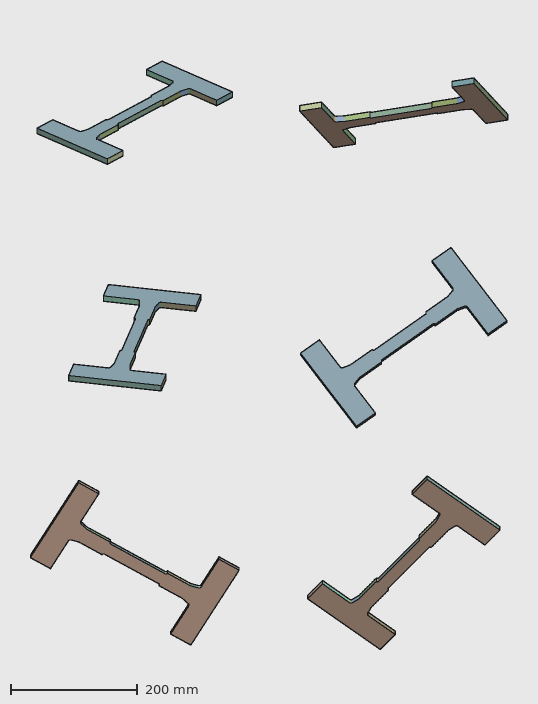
import cadquery as cq
import math

length = 295.0
width = 150.0
thickness = 10.0

head_depth = 37.2
stem_width = 25.5
taper_length = 15.0
taper_angle = 15.0
root_radius = 3.5

gauge_width = 20.0
gauge_length = 99.7
shoulder_radius = (stem_width - gauge_width) / 2

head_y = length / 2 - head_depth
taper_y = head_y - taper_length
root_half_width = stem_width / 2 + taper_length * math.tan(math.radians(taper_angle))


def centered_block(size_x, size_y):
    return cq.Workplane("XY").box(size_x, size_y, thickness)


def upper_head():
    """Head with a tapered root reaching down to the straight stem."""
    profile = [
        (-width / 2, length / 2),
        (-width / 2, head_y),
        (-root_half_width, head_y),
        (-stem_width / 2, taper_y),
        (stem_width / 2, taper_y),
        (root_half_width, head_y),
        (width / 2, head_y),
        (width / 2, length / 2),
    ]
    head = cq.Workplane("XY").workplane(offset=-thickness / 2).polyline(profile).close().extrude(thickness)
    root_edges = cq.selectors.BoxSelector(
        (-width / 4, head_y - root_radius / 2, -thickness),
        (width / 4, head_y + root_radius / 2, thickness),
    )
    return head.edges("|Z").edges(root_edges).fillet(root_radius)


def gauge_relief():
    """Side recess whose inner corners are quarter rounds."""
    half_gauge = gauge_width / 2
    half_stem = stem_width / 2
    straight_end = gauge_length / 2
    round_end = straight_end + shoulder_radius
    diagonal = shoulder_radius * math.sqrt(0.5)
    return (
        cq.Workplane("XY").workplane(offset=-thickness / 2)
        .moveTo(half_stem, -round_end)
        .threePointArc((half_stem - diagonal, -straight_end - diagonal), (half_gauge, -straight_end))
        .lineTo(half_gauge, straight_end)
        .threePointArc((half_stem - diagonal, straight_end + diagonal), (half_stem, round_end))
        .close()
        .extrude(thickness)
    )


stem = centered_block(stem_width, 2 * taper_y)
relief = gauge_relief()
head = upper_head()
result = (
    stem.cut(relief)
    .cut(relief.mirror("YZ"))
    .union(head)
    .union(head.mirror("XZ"))
    .clean()
)